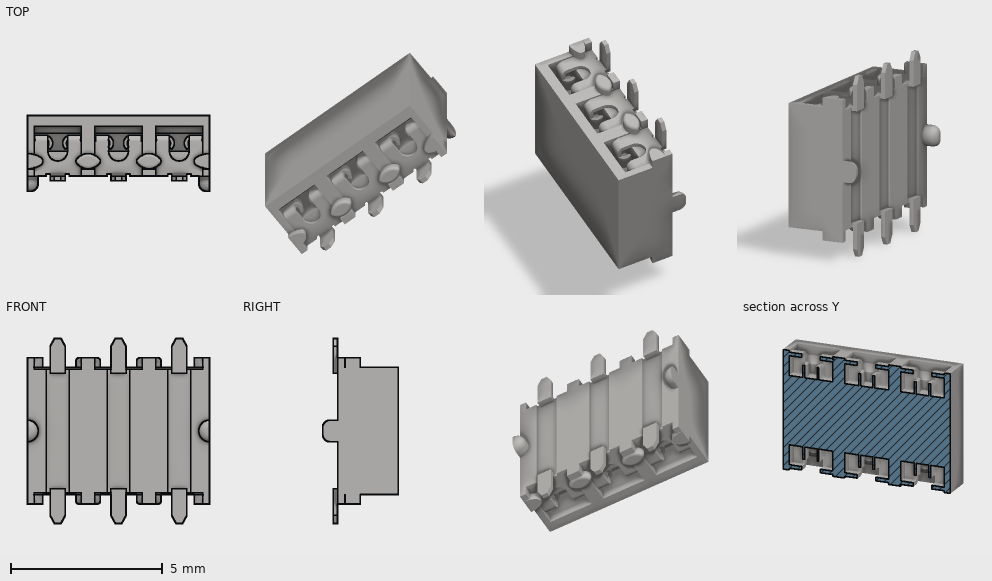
import cadquery as cq
import math

width = 6.0
depth = 2.0
half_height = 2.1
pitch = width / 3
way_centers = [-pitch, 0, pitch]

pocket_width = 1.55
pocket_back = 1.64
mouth_depth = 0.325
lead_in = 0.225
pit_back = pocket_back - lead_in
pit_front = 0.825
pit_floor = 1.22
divider_width = pitch - pocket_width

sheet_top = 2.04
sheet_thickness = 0.14
sheet_bottom = sheet_top - sheet_thickness
bend_radius = 0.2
leg_back = 1.35
slot_width = 0.645
leg_side_gap = 0.025
curl_offset = 0.43
curl_radius = 0.26
curl_thickness = 0.12
curl_top = 1.65
curl_end_angle = 230

tail_width = 0.505
tail_thickness = 0.15
tail_end = 3.05
tip_width = 0.215
tip_length = 0.27

groove_width = 0.755
groove_depth = 0.075

standoff_top = 2.41
block_depth = 0.24
lens_y = 0.495
lens_half_depth = 0.25
inner_lens_half_length = 0.4
inner_lens_tip_radius = 0.11
inner_lens_top_fillet = 0.105
outer_lens_half_length = 0.51
outer_lens_tip_radius = 0.15

peg_radius = 0.36
peg_length = 0.5
peg_fillet = 0.25


def block(x_center, size_x, y_range, z_range):
    """Box centred on x_center, between two Y values and two Z values."""
    corner = (x_center - size_x / 2, y_range[0], z_range[0])
    return cq.Workplane("XY").box(
        size_x, y_range[1] - y_range[0], z_range[1] - z_range[0], centered=False
    ).translate(corner)


def along_x(profile, x_center, size_x):
    """Extrude a closed YZ profile by size_x about x_center."""
    return profile.extrude(size_x / 2, both=True).translate((x_center, 0, 0))


def pocket(x):
    """Pocket with a sloped lead-in, open to the front above the sheet and with a pit behind it."""
    slope_top = half_height - mouth_depth
    profile = (
        cq.Workplane("YZ")
        .moveTo(0, half_height)
        .lineTo(pocket_back, half_height)
        .lineTo(pocket_back, slope_top)
        .lineTo(pit_back, slope_top - lead_in)
        .lineTo(pit_back, pit_floor)
        .lineTo(pit_front, pit_floor)
        .lineTo(pit_front, sheet_bottom)
        .lineTo(0, sheet_bottom)
        .close()
    )
    return along_x(profile, x, pocket_width)


def contact_sheet(x):
    """Flat sheet bent down into two legs at the back, with a round-ended slot between them."""
    profile = (
        cq.Workplane("YZ")
        .moveTo(0, sheet_bottom)
        .lineTo(0, sheet_top)
        .lineTo(leg_back - bend_radius, sheet_top)
        .radiusArc((leg_back, sheet_top - bend_radius), bend_radius)
        .lineTo(leg_back, pit_floor)
        .lineTo(leg_back - sheet_thickness, pit_floor)
        .lineTo(leg_back - sheet_thickness, sheet_bottom)
        .close()
    )
    bend_start = leg_back - bend_radius
    slot_span = (pit_front, leg_back)
    slot_end = (
        cq.Workplane("XY", origin=(x, pit_front, sheet_bottom))
        .circle(slot_width / 2)
        .extrude(sheet_thickness)
    )
    sheet = along_x(profile, x, pocket_width)
    sheet = sheet.cut(block(x, slot_width, slot_span, (pit_floor, sheet_top))).cut(slot_end)
    for side in (-1, 1):
        gap_x = x + side * (pocket_width - leg_side_gap) / 2
        sheet = sheet.cut(block(gap_x, leg_side_gap, (bend_start, leg_back), (pit_floor, sheet_top)))
    return sheet


def spring_curls(x):
    """Mirrored pair of upright curled arms, rolled forward and outward from the two legs."""
    bore_radius = curl_radius - curl_thickness

    def on_circle(radius, degrees):
        angle = math.radians(degrees)
        return (radius * math.cos(angle), radius * math.sin(angle))

    curl = (
        cq.Workplane("XY", origin=(curl_offset, leg_back - curl_radius, pit_floor))
        .moveTo(*on_circle(curl_radius, 90))
        .threePointArc(on_circle(curl_radius, 180), on_circle(curl_radius, curl_end_angle))
        .lineTo(*on_circle(bore_radius, curl_end_angle))
        .threePointArc(on_circle(bore_radius, 180), on_circle(bore_radius, 90))
        .close()
        .extrude(curl_top - pit_floor)
    )
    return curl.union(curl.mirror("YZ")).translate((x, 0, 0))


def solder_tail(x):
    """Flat tail with a tapered tip, joined to the sheet across the groove."""
    shoulder = tail_end - tip_length
    tail = (
        cq.Workplane("XZ")
        .moveTo(x - tail_width / 2, sheet_bottom)
        .lineTo(x - tail_width / 2, shoulder)
        .lineTo(x - tip_width / 2, tail_end)
        .lineTo(x + tip_width / 2, tail_end)
        .lineTo(x + tail_width / 2, shoulder)
        .lineTo(x + tail_width / 2, sheet_bottom)
        .close()
        .extrude(tail_thickness)
    )
    root = block(x, tail_width, (0, groove_depth), (sheet_bottom, sheet_top))
    return tail.union(root)


def lens(x, half_length, tip_radius):
    """Upright lens-shaped post with rounded tips, standing on the plain end face."""
    core_half_length = half_length - tip_radius
    core_half_depth = lens_half_depth - tip_radius
    return (
        cq.Workplane("XY", origin=(x, lens_y, half_height))
        .moveTo(-core_half_length, 0)
        .threePointArc((0, core_half_depth), (core_half_length, 0))
        .threePointArc((0, -core_half_depth), (-core_half_length, 0))
        .close()
        .offset2D(tip_radius)
        .extrude(standoff_top - half_height)
    )


def peg(x):
    """Round peg with a domed end on the front face."""
    return (
        cq.Workplane("XZ", origin=(x, 0, 0))
        .circle(peg_radius)
        .extrude(peg_length)
        .faces("<Y")
        .edges()
        .fillet(peg_fillet)
    )


upper = block(0, width, (0, depth), (0, half_height))
for x in way_centers:
    upper = upper.cut(pocket(x)).union(contact_sheet(x)).union(spring_curls(x))

for x in (-pitch / 2, pitch / 2):
    post = lens(x, inner_lens_half_length, inner_lens_tip_radius)
    upper = upper.union(post.faces(">Z").edges().fillet(inner_lens_top_fillet))
    upper = upper.union(block(x, divider_width, (0, block_depth), (sheet_bottom, standoff_top)))
for x in (-width / 2, width / 2):
    upper = upper.union(lens(x, outer_lens_half_length, outer_lens_tip_radius))
    upper = upper.union(block(x, divider_width, (0, block_depth), (sheet_bottom, standoff_top)))

for x in way_centers:
    upper = upper.cut(block(x, groove_width, (0, groove_depth), (0, half_height)))
    upper = upper.union(solder_tail(x))

body = upper.union(upper.mirror("XY"))
for x in (-width / 2, width / 2):
    body = body.union(peg(x))
envelope = block(0, width, (-peg_length, depth), (-tail_end, tail_end))
result = body.intersect(envelope).clean()